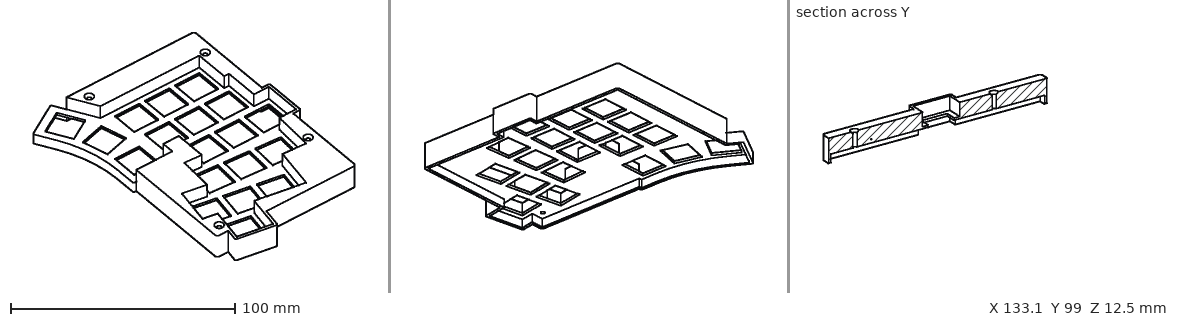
import cadquery as cq
import math

case_height = 12.5
plate_top = 5.5
plate_thickness = 1.3
wall = 1.5
cavity_height = plate_top - plate_thickness

column_pitch = 18.0
row_pitch = 17.0
rows = 3
window = 13.8
second_column_rise = 2.7
third_column_rise = 11.17
column_4_base = (54.2, 1.0)
column_4_turn = -4.0
column_5_base = (70.9, -14.05)
column_5_turn = -10.0
outer_key_rise = 7.65

clear_x = 9.8
clear_y = 9.2

thumb_key = (23.0, -18.15)
thumb_pitch = 20.05
thumb_step = 15.0
thumb_keys = 3
thumb_radius = thumb_pitch / (2 * math.sin(math.radians(thumb_step / 2)))
thumb_half_x = clear_x + wall
thumb_half_y = clear_y + wall
thumb_top = -6.85

case_left = -24.0
case_right = 92.5
case_front = -27.35
case_back = 51.6
case_corner = 1.4
small_corner = 0.7
screw_hole = 2.0
screw_head = 4.4
screw_head_angle = 90.0
screw_places = [(-9.85, 46.65), (64.3, 46.65), (-18.15, -12.65), (86.95, -21.7)]


def place(base, turn, along, across):
    """Point at (along, across) in a frame at base turned by turn degrees."""
    c = math.cos(math.radians(turn))
    s = math.sin(math.radians(turn))
    return (base[0] + along * c - across * s, base[1] + along * s + across * c)


def block(center, turn, size_x, size_y, bottom, top):
    """Turned box between two heights."""
    box = cq.Workplane("XY").box(size_x, size_y, top - bottom, centered=(True, True, False))
    return box.rotate((0, 0, 0), (0, 0, 1), turn).translate((center[0], center[1], bottom))


def thumb_frame(index):
    """Centre and turn of a thumb key, counted from the innermost one."""
    turn = index * thumb_step
    hub = (thumb_key[0], thumb_key[1] - thumb_radius)
    return place(hub, turn, 0, thumb_radius), turn


columns = [
    ((0, 0), 0),
    ((column_pitch, second_column_rise), 0),
    ((2 * column_pitch, third_column_rise), 0),
    (column_4_base, column_4_turn),
    (column_5_base, column_5_turn),
]
top_row = (rows - 1) * row_pitch
tab_key = (place(*columns[2], 0, top_row), 0)
outer_key = (place(column_5_base, column_5_turn, column_pitch, outer_key_rise), column_5_turn)


def key_frames():
    """Centre and turn of every key."""
    frames = []
    for base, turn in columns:
        for row in range(rows):
            frames.append((place(base, turn, 0, row * row_pitch), turn))
    frames.append(outer_key)
    for index in range(thumb_keys):
        frames.append(thumb_frame(index))
    return frames


def case_block(inset, bottom, top):
    """Case rectangle with its two outer key tabs, all drawn in by inset."""
    center = ((case_left + case_right) / 2, (case_front + case_back) / 2)
    size_x = case_right - case_left - 2 * inset
    size_y = case_back - case_front - 2 * inset
    body = block(center, 0, size_x, size_y, bottom, top)
    if inset < case_corner:
        body = body.edges("|Z").fillet(case_corner - inset)
    grow = wall - inset
    for key, turn in (tab_key, outer_key):
        tab = block(key, turn, 2 * (clear_x + grow), 2 * (clear_y + grow), bottom, top)
        if inset < small_corner:
            tab = tab.edges("|Z").fillet(small_corner - inset)
        body = body.union(tab)
    return body


def thumb_block(inset, bottom, top):
    """Thumb cluster: straight ends joined by an arc concentric with the keys."""
    half_x = thumb_half_x - inset
    half_y = thumb_half_y - inset
    inner, middle, outer = [thumb_frame(index) for index in range(thumb_keys)]
    end_back = place(*outer, -half_x, half_y)
    end_front = place(*outer, -half_x, -half_y)
    right = inner[0][0] + half_x
    slope = math.tan(math.radians(outer[1]))
    left_corner = (-clear_x, end_back[1] + slope * (-clear_x - end_back[0]))
    outline = (
        cq.Workplane("XY", origin=(0, 0, bottom))
        .moveTo(*end_back)
        .lineTo(*end_front)
        .lineTo(*place(*outer, 0, -half_y))
        .threePointArc(place(*middle, 0, -half_y), place(*inner, 0, -half_y))
        .lineTo(right, inner[0][1] - half_y)
        .lineTo(right, thumb_top)
        .lineTo(-clear_x, thumb_top)
        .lineTo(*left_corner)
        .close()
    )
    body = outline.extrude(top - bottom)
    if inset < small_corner:
        for corner in (end_back, end_front, (right, inner[0][1] - half_y)):
            edge = cq.selectors.NearestToPointSelector((*corner, (bottom + top) / 2))
            body = body.edges("|Z").edges(edge).fillet(small_corner - inset)
    return body


def key_pocket():
    """Space above the plate in which the keys move."""
    pocket = thumb_block(0, plate_top, case_height)
    for base, turn in columns:
        middle = place(base, turn, 0, top_row / 2)
        pocket = pocket.union(block(middle, turn, 2 * clear_x, top_row + 2 * clear_y, plate_top, case_height))
    for base, turn in columns[3:]:
        center = place(base, turn, -clear_x / 2, top_row - row_pitch / 2)
        pocket = pocket.union(
            block(center, turn, 3 * clear_x, row_pitch + 2 * clear_y, plate_top, case_height)
        )
    right = column_pitch + clear_x
    center = ((right - clear_x) / 2, thumb_top / 2)
    pocket = pocket.union(block(center, 0, right + clear_x, -thumb_top, plate_top, case_height))
    return pocket.union(block(*outer_key, 2 * clear_x, 2 * clear_y, plate_top, case_height))


def key_windows():
    """Square openings through the plate."""
    cutter = cq.Workplane("XY")
    for center, turn in key_frames():
        cutter = cutter.add(block(center, turn, window, window, 0, plate_top))
    return cutter.combine()


body = case_block(0, 0, case_height).union(thumb_block(0, 0, plate_top))
body = body.cut(key_pocket())
body = body.cut(case_block(wall, 0, cavity_height)).cut(thumb_block(wall, 0, cavity_height))
body = body.cut(key_windows())
result = (
    body.faces(">Z")
    .workplane(origin=(0, 0, case_height))
    .pushPoints(screw_places)
    .cskHole(screw_hole, screw_head, screw_head_angle)
)